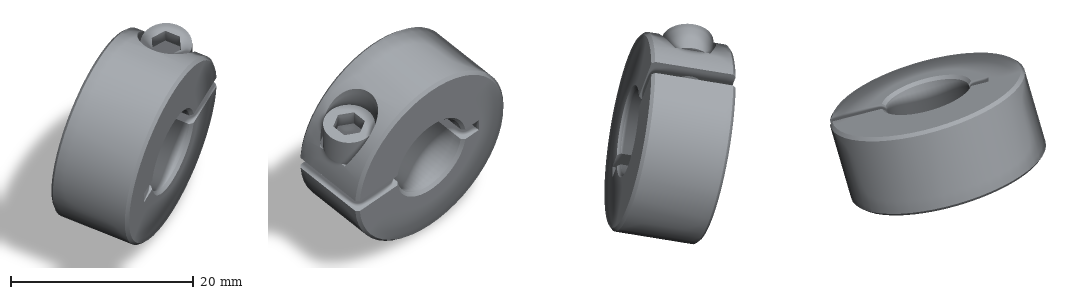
import cadquery as cq
import math

outer_diameter = 22.23
width = 9.54
bore_diameter = 9.55
outer_chamfer = 0.35
bore_chamfer = 0.35

slit_height = 1.58
relief_depth = 7.1

screw_y = 7.91
shank_diameter = 3.55
head_diameter = 5.71
head_top_z = 7.47
seat_z = 3.95
counterbore_diameter = 6.35
hex_across_flats = 3.1
hex_across_corners = hex_across_flats / math.cos(math.pi / 6)
hex_depth = 1.78
shank_end_z = -seat_z

outer_radius = outer_diameter / 2
bore_radius = bore_diameter / 2


def vertical_cylinder(diameter, bottom_z, top_z):
    """Cylinder on the screw axis between two heights."""
    return (
        cq.Workplane("XY", origin=(0, screw_y, bottom_z))
        .circle(diameter / 2)
        .extrude(top_z - bottom_z)
    )


def make_ring():
    """Chamfered ring, revolved about X from its half section."""
    half_width = width / 2
    section = (
        cq.Workplane("XY")
        .moveTo(-half_width, bore_radius + bore_chamfer)
        .lineTo(-half_width, outer_radius - outer_chamfer)
        .lineTo(-half_width + outer_chamfer, outer_radius)
        .lineTo(half_width - outer_chamfer, outer_radius)
        .lineTo(half_width, outer_radius - outer_chamfer)
        .lineTo(half_width, bore_radius + bore_chamfer)
        .lineTo(half_width - bore_chamfer, bore_radius)
        .lineTo(-half_width + bore_chamfer, bore_radius)
        .close()
    )
    return section.revolve(360, (0, 0, 0), (1, 0, 0))


def make_slit():
    """Slot through the full width, from the relief notch out past the +Y rim."""
    length = relief_depth + outer_diameter
    return (
        cq.Workplane("XY", origin=(0, -relief_depth, 0))
        .box(width, length, slit_height, centered=(True, False, True))
    )


def make_screw():
    """Socket head cap screw bridging the slit."""
    head = vertical_cylinder(head_diameter, seat_z, head_top_z)
    shank = vertical_cylinder(shank_diameter, shank_end_z, seat_z)
    socket = (
        cq.Workplane("XY", origin=(0, screw_y, head_top_z - hex_depth))
        .polygon(6, hex_across_corners)
        .extrude(hex_depth)
    )
    return head.union(shank).cut(socket)


counterbore = vertical_cylinder(counterbore_diameter, seat_z, outer_radius)
result = make_ring().cut(make_slit()).cut(counterbore).union(make_screw())